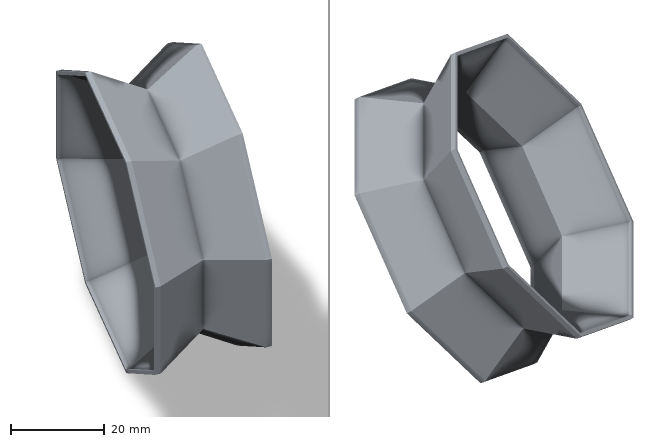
import cadquery as cq
import math

SIDES = 8
RIM_ACROSS_FLATS = 66.78
RIM_WIDTH = 1.2
FLANK_WIDTH = 12.0
FLANK_ANGLE = 30.0
WALL = 0.8

slope = math.tan(math.radians(FLANK_ANGLE))
half_width = FLANK_WIDTH + RIM_WIDTH
flank_drop = FLANK_WIDTH * slope
flank_wall = WALL / math.cos(math.radians(FLANK_ANGLE))

outer_rim = RIM_ACROSS_FLATS / 2
outer_neck = outer_rim - flank_drop
inner_rim = outer_rim - WALL
inner_neck = outer_neck - flank_wall
inner_flank_width = (inner_rim - inner_neck) / slope


def octagon(apothem, y):
    """Octagon wire with flats facing X and Z, in the plane at height y along Y."""
    circumradius = apothem / math.cos(math.pi / SIDES)
    corner_angles = [(2 * i + 1) * math.pi / SIDES for i in range(SIDES)]
    corners = [
        cq.Vector(circumradius * math.cos(a), y, circumradius * math.sin(a))
        for a in corner_angles
    ]
    return cq.Wire.makePolygon(corners, close=True)


def loft(apothem_a, y_a, apothem_b, y_b):
    """Straight-sided octagonal solid between two sections along Y."""
    wires = [octagon(apothem_a, y_a), octagon(apothem_b, y_b)]
    return cq.Workplane(obj=cq.Solid.makeLoft(wires, True))


def spool(neck, rim, flank_width):
    """Solid octagonal spool: narrow at mid-width, flaring to a straight band at each end."""
    body = None
    for side in (-1, 1):
        flank = loft(neck, 0, rim, side * flank_width)
        band = loft(rim, side * flank_width, rim, side * half_width)
        half = flank.union(band)
        body = half if body is None else body.union(half)
    return body


outside = spool(outer_neck, outer_rim, FLANK_WIDTH)
inside = spool(inner_neck, inner_rim, inner_flank_width)
result = outside.cut(inside)